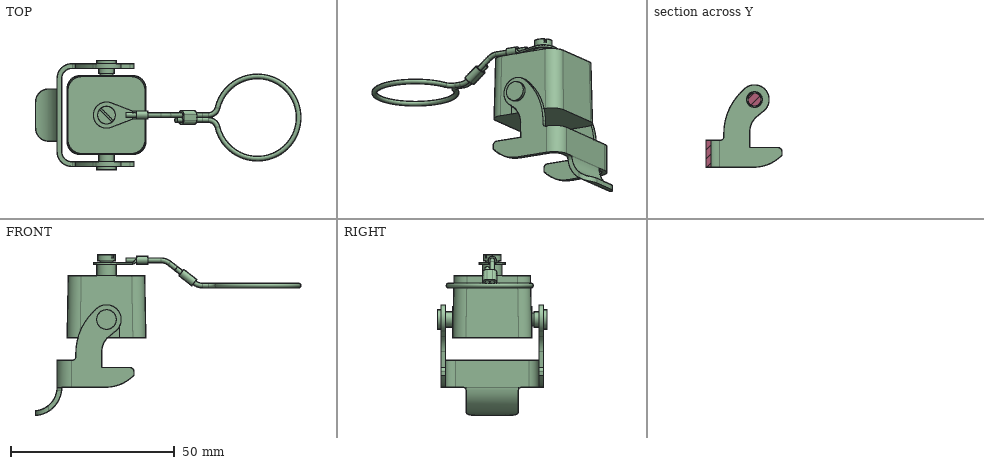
import cadquery as cq
import math


COVER_HEIGHT = 19.0
COVER_BASE_WIDTH = 24.1
COVER_TOP_WIDTH = 23.4
COVER_CORNER_RADIUS = 4.0
PAD_RADIUS = 4.0

PIVOT_Z = 5.6
PIN_DIAMETER = 4.8
PIN_NECK_DIAMETER = 4.1
PIN_NECK_LENGTH = 0.7
PIN_HEAD_DIAMETER = 6.0
PIN_SPAN = 33.4
PIN_HEAD_THICKNESS = 1.0

SHEET = 1.5
BAIL_HALF_WIDTH = PIN_SPAN / 2 - PIN_HEAD_THICKNESS
BAND_BACK_X = -15.1
BAND_BOTTOM_Z = -15.1
BAND_TOP_Z = -6.8
BAND_BEND_RADIUS = 4.5
BAND_BEND_X = BAND_BACK_X + BAND_BEND_RADIUS

ARM_EYE_RADIUS = 4.5
ARM_BACK_X = -9.4
ARM_BACK_RADIUS = 17.8
ARM_BACK_CENTER_Z = -4.8
ARM_ROOT_FILLET = 1.0
ARM_FRONT_X = -1.4
ARM_FRONT_RADIUS = 6.0
ARM_FRONT_CENTER_Z = -4.2
HOOK_TOP_Z = -9.0
HOOK_TIP_X = 8.4
HOOK_TIP_FILLET = 1.3
HOOK_TIP_LOW_Z = -11.4
HOOK_BELLY_X = -0.3

TAB_WIDTH = 16.0
TAB_BEND_RADIUS = 8.61
TAB_END_X = -21.65
TAB_CORNER_RADIUS = 4.0
TAB_ROOT_FILLET = 0.9

POST_DIAMETER = 6.0
POST_TOP_Z = 22.4
SCREW_NECK_DIAMETER = 4.1
SCREW_HEAD_DIAMETER = 5.4
SCREW_HEAD_BOTTOM_Z = 23.5
SCREW_TOP_Z = 25.4
SLOT_WIDTH = 0.6
SLOT_DEPTH = 1.1
SLOT_ANGLE = -45.0

EYELET_RADIUS = 4.0
EYELET_THICKNESS = 0.6
EYELET_TIP_X = 8.0
EYELET_TIP_WIDTH = 2.4

CORD_DIAMETER = 1.48
CORD_PITCH = 1.5
CORD_Z = 23.65
CORD_START_X = 5.9
CORD_BEND_START_X = 16.6
CORD_BEND_RADIUS = 4.2
CORD_SLOPE = math.radians(38.0)
CORD_DROP = 7.7
LOOP_NECK_X = 31.1
LOOP_RADIUS = 12.55
LOOP_END_X = 59.35
SLEEVE_DIAMETER = 2.5
SLEEVE_START_X = 9.2
SLEEVE_LENGTH = 3.4
FERRULE_LENGTH = 5.0
FERRULE_FLAT_WIDTH = 1.8
TAIL_LENGTH = 2.0


def polar(center, radius, angle):
    """Point at an angle on a circle in a plane."""
    return (center[0] + radius * math.cos(angle), center[1] + radius * math.sin(angle))


def tangent_angle(center_a, radius_a, center_b, radius_b, side):
    """Direction from both centres to their common tangent line; a negative radius makes it cross over."""
    dx = center_b[0] - center_a[0]
    dy = center_b[1] - center_a[1]
    spread = math.acos((radius_a - radius_b) / math.hypot(dx, dy))
    return math.atan2(dy, dx) + side * spread


def y_cylinder(diameter, y_start, y_end):
    """Cylinder on the pivot axis between two Y positions."""
    axis_plane = cq.Workplane("XZ", origin=(0, y_start, 0)).center(0, PIVOT_Z)
    return axis_plane.circle(diameter / 2).extrude(y_start - y_end)


def z_cylinder(diameter, z_start, z_end):
    """Cylinder on the screw axis between two heights."""
    return cq.Workplane("XY", origin=(0, 0, z_start)).circle(diameter / 2).extrude(z_end - z_start)


def make_cover():
    def rounded_square(width):
        return cq.Sketch().rect(width, width).vertices().fillet(COVER_CORNER_RADIUS)

    top = rounded_square(COVER_TOP_WIDTH).moved(cq.Location(cq.Vector(0, 0, COVER_HEIGHT)))
    body = cq.Workplane("XY").placeSketch(rounded_square(COVER_BASE_WIDTH), top).loft()
    pads = (
        cq.Workplane("XZ")
        .moveTo(-PAD_RADIUS, 0)
        .lineTo(PAD_RADIUS, 0)
        .lineTo(PAD_RADIUS, PIVOT_Z)
        .threePointArc((0, PIVOT_Z + PAD_RADIUS), (-PAD_RADIUS, PIVOT_Z))
        .close()
        .extrude(COVER_BASE_WIDTH / 2, both=True)
    )
    return body.union(pads)


def make_pins():
    wall_y = COVER_BASE_WIDTH / 2
    neck_end_y = wall_y + PIN_NECK_LENGTH
    core = y_cylinder(PIN_NECK_DIAMETER, 0, neck_end_y)
    plus_pin = y_cylinder(PIN_DIAMETER, neck_end_y, BAIL_HALF_WIDTH)
    minus_pin = y_cylinder(PIN_DIAMETER, -BAIL_HALF_WIDTH, 0)
    heads = y_cylinder(PIN_HEAD_DIAMETER, BAIL_HALF_WIDTH, PIN_SPAN / 2).union(
        y_cylinder(PIN_HEAD_DIAMETER, -PIN_SPAN / 2, -BAIL_HALF_WIDTH)
    )
    return core.union(plus_pin).union(minus_pin).union(heads)


def make_band():
    height = BAND_TOP_Z - BAND_BOTTOM_Z

    def rounded_channel(inset):
        back_x = BAND_BACK_X + inset
        half_width = BAIL_HALF_WIDTH - inset
        return (
            cq.Workplane("XY", origin=(0, 0, BAND_BOTTOM_Z))
            .moveTo((back_x + ARM_BACK_X) / 2, 0)
            .rect(ARM_BACK_X - back_x, 2 * half_width)
            .extrude(height)
            .edges("|Z and <X")
            .fillet(BAND_BEND_RADIUS - inset)
        )

    return rounded_channel(0).cut(rounded_channel(SHEET))


def make_arm(outer_y):
    """Hooked arm plate, from outer_y one sheet thickness toward +Y."""
    eye = (0, PIVOT_Z)
    back = (ARM_BACK_X + ARM_BACK_RADIUS, ARM_BACK_CENTER_Z)
    front = (ARM_FRONT_X + ARM_FRONT_RADIUS, ARM_FRONT_CENTER_Z)
    back_angle = tangent_angle(eye, ARM_EYE_RADIUS, back, ARM_BACK_RADIUS, -1) % math.tau
    front_angle = tangent_angle(eye, ARM_EYE_RADIUS, front, -ARM_FRONT_RADIUS, 1)
    front_end_angle = front_angle + math.pi

    belly_rise = HOOK_TIP_LOW_Z - BAND_BOTTOM_Z
    belly_run = HOOK_TIP_X - HOOK_BELLY_X
    belly_radius = (belly_run**2 + belly_rise**2) / (2 * belly_rise)
    belly = (HOOK_BELLY_X, BAND_BOTTOM_Z + belly_radius)
    belly_end_angle = math.atan2(HOOK_TIP_LOW_Z - belly[1], belly_run)

    fillet_center = (HOOK_TIP_X - HOOK_TIP_FILLET, HOOK_TOP_Z - HOOK_TIP_FILLET)
    root_center = (ARM_BACK_X - ARM_ROOT_FILLET, BAND_TOP_Z + ARM_ROOT_FILLET)

    return (
        cq.Workplane("XZ", origin=(0, outer_y, 0))
        .moveTo(BAND_BEND_X, BAND_BOTTOM_Z)
        .lineTo(HOOK_BELLY_X, BAND_BOTTOM_Z)
        .threePointArc(
            polar(belly, belly_radius, (belly_end_angle - math.pi / 2) / 2),
            (HOOK_TIP_X, HOOK_TIP_LOW_Z),
        )
        .lineTo(HOOK_TIP_X, fillet_center[1])
        .threePointArc(
            polar(fillet_center, HOOK_TIP_FILLET, math.pi / 4),
            (fillet_center[0], HOOK_TOP_Z),
        )
        .lineTo(ARM_FRONT_X, HOOK_TOP_Z)
        .lineTo(ARM_FRONT_X, ARM_FRONT_CENTER_Z)
        .threePointArc(
            polar(front, ARM_FRONT_RADIUS, (math.pi + front_end_angle) / 2),
            polar(front, ARM_FRONT_RADIUS, front_end_angle),
        )
        .lineTo(*polar(eye, ARM_EYE_RADIUS, front_angle))
        .threePointArc(
            polar(eye, ARM_EYE_RADIUS, (front_angle + back_angle) / 2),
            polar(eye, ARM_EYE_RADIUS, back_angle),
        )
        .lineTo(*polar(back, ARM_BACK_RADIUS, back_angle))
        .threePointArc(
            polar(back, ARM_BACK_RADIUS, (back_angle + math.pi) / 2),
            (ARM_BACK_X, ARM_BACK_CENTER_Z),
        )
        .lineTo(ARM_BACK_X, root_center[1])
        .threePointArc(
            polar(root_center, ARM_ROOT_FILLET, -math.pi / 4),
            (root_center[0], BAND_TOP_Z),
        )
        .lineTo(BAND_BEND_X, BAND_TOP_Z)
        .close()
        .extrude(-SHEET)
    )


def make_tab():
    front_x = BAND_BACK_X + SHEET
    inner_radius = TAB_BEND_RADIUS - SHEET
    bend = (front_x - TAB_BEND_RADIUS, BAND_BOTTOM_Z)
    end_run = TAB_END_X - bend[0]
    end_angle = -math.acos(end_run / TAB_BEND_RADIUS)
    inner_end_angle = -math.acos(end_run / inner_radius)
    tab = (
        cq.Workplane("XZ")
        .moveTo(front_x, BAND_BOTTOM_Z)
        .threePointArc(
            polar(bend, TAB_BEND_RADIUS, end_angle / 2),
            polar(bend, TAB_BEND_RADIUS, end_angle),
        )
        .lineTo(*polar(bend, inner_radius, inner_end_angle))
        .threePointArc(
            polar(bend, inner_radius, inner_end_angle / 2),
            (BAND_BACK_X, BAND_BOTTOM_Z),
        )
        .close()
        .extrude(TAB_WIDTH / 2, both=True)
        .edges("|Z and <X")
        .fillet(TAB_CORNER_RADIUS)
    )
    for side in (-1, 1):
        edge_y = side * TAB_WIDTH / 2
        outer_y = edge_y + side * TAB_ROOT_FILLET
        low_z = BAND_BOTTOM_Z - TAB_ROOT_FILLET
        gusset = (
            cq.Workplane("YZ", origin=(BAND_BACK_X, 0, 0))
            .moveTo(edge_y, BAND_BOTTOM_Z)
            .lineTo(outer_y, BAND_BOTTOM_Z)
            .threePointArc(
                polar((outer_y, low_z), TAB_ROOT_FILLET, math.pi / 2 + side * math.pi / 4),
                (edge_y, low_z),
            )
            .close()
            .extrude(SHEET)
        )
        tab = tab.union(gusset)
    return tab


def make_screw_post():
    post = z_cylinder(POST_DIAMETER, COVER_HEIGHT, POST_TOP_Z)
    neck = z_cylinder(SCREW_NECK_DIAMETER, POST_TOP_Z, SCREW_HEAD_BOTTOM_Z)
    head = z_cylinder(SCREW_HEAD_DIAMETER, SCREW_HEAD_BOTTOM_Z, SCREW_TOP_Z)
    slot = (
        cq.Workplane("XY", origin=(0, 0, SCREW_TOP_Z - SLOT_DEPTH))
        .rect(2 * SCREW_HEAD_DIAMETER, SLOT_WIDTH)
        .extrude(2 * SLOT_DEPTH)
        .rotate((0, 0, 0), (0, 0, 1), SLOT_ANGLE)
    )
    return post.union(neck).union(head.cut(slot))


def make_eyelet():
    half_tip = EYELET_TIP_WIDTH / 2
    tip_distance = math.hypot(EYELET_TIP_X, half_tip)
    tangent = math.atan2(half_tip, EYELET_TIP_X) + math.acos(EYELET_RADIUS / tip_distance)
    plate = (
        cq.Workplane("XY", origin=(0, 0, POST_TOP_Z))
        .moveTo(EYELET_TIP_X, -half_tip)
        .lineTo(EYELET_TIP_X, half_tip)
        .lineTo(*polar((0, 0), EYELET_RADIUS, tangent))
        .threePointArc((-EYELET_RADIUS, 0), polar((0, 0), EYELET_RADIUS, -tangent))
        .close()
        .extrude(EYELET_THICKNESS)
    )
    tongue = (
        cq.Workplane("XZ")
        .moveTo(EYELET_TIP_X, POST_TOP_Z)
        .lineTo(SLEEVE_START_X, CORD_Z - EYELET_THICKNESS)
        .lineTo(SLEEVE_START_X, CORD_Z + EYELET_THICKNESS)
        .lineTo(EYELET_TIP_X, POST_TOP_Z + EYELET_THICKNESS)
        .close()
        .extrude(half_tip, both=True)
    )
    return plate.union(tongue)


def slope_points():
    """XZ points of the sloping cord stretch: upper bend, straight slope and lower bend."""
    upper = (CORD_BEND_START_X, CORD_Z - CORD_BEND_RADIUS)
    upper_mid = polar(upper, CORD_BEND_RADIUS, (math.pi - CORD_SLOPE) / 2)
    slope_top = polar(upper, CORD_BEND_RADIUS, math.pi / 2 - CORD_SLOPE)
    bend_drop = CORD_BEND_RADIUS * (1 - math.cos(CORD_SLOPE))
    slope_run = (CORD_DROP - 2 * bend_drop) / math.tan(CORD_SLOPE)
    slope_bottom = (slope_top[0] + slope_run, CORD_Z - CORD_DROP + bend_drop)
    lower = (
        slope_bottom[0] + CORD_BEND_RADIUS * math.sin(CORD_SLOPE),
        CORD_Z - CORD_DROP + CORD_BEND_RADIUS,
    )
    lower_mid = polar(lower, CORD_BEND_RADIUS, -(math.pi + CORD_SLOPE) / 2)
    lower_end = (lower[0], CORD_Z - CORD_DROP)
    return upper_mid, slope_top, slope_bottom, lower_mid, lower_end


def make_cord():
    upper_mid, slope_top, slope_bottom, lower_mid, lower_end = slope_points()
    loop_z = CORD_Z - CORD_DROP
    loop = (LOOP_END_X - CORD_DIAMETER / 2 - LOOP_RADIUS, -CORD_PITCH / 2)

    neck_run = loop[0] - LOOP_NECK_X
    half_pitch = CORD_PITCH / 2
    neck_radius = (neck_run**2 + half_pitch**2 - LOOP_RADIUS**2) / (2 * (LOOP_RADIUS - half_pitch))
    neck = (LOOP_NECK_X, neck_radius)
    neck_angle = math.atan2(loop[1] - neck[1], neck_run)
    neck_mid = polar(neck, neck_radius, (neck_angle - math.pi / 2) / 2)
    neck_end = polar(neck, neck_radius, neck_angle)

    tail_distance = FERRULE_LENGTH + TAIL_LENGTH
    tail_end = polar(slope_bottom, tail_distance, math.pi - CORD_SLOPE)

    def upper_strand(point):
        return cq.Vector(point[0], 0, point[1])

    def lower_strand(point):
        return cq.Vector(point[0], -CORD_PITCH, point[1])

    def loop_point(point):
        return cq.Vector(point[0], point[1], loop_z)

    def mirrored(point):
        return cq.Vector(point[0], 2 * loop[1] - point[1], loop_z)

    neck_start = (LOOP_NECK_X, loop_z)
    cord_start = upper_strand((CORD_START_X, CORD_Z))
    bend_start = upper_strand((CORD_BEND_START_X, CORD_Z))
    loop_far = loop_point((loop[0] + LOOP_RADIUS, loop[1]))
    line = cq.Edge.makeLine
    arc = cq.Edge.makeThreePointArc
    path = cq.Wire.assembleEdges(
        [
            line(cord_start, bend_start),
            arc(bend_start, upper_strand(upper_mid), upper_strand(slope_top)),
            line(upper_strand(slope_top), upper_strand(slope_bottom)),
            arc(upper_strand(slope_bottom), upper_strand(lower_mid), upper_strand(lower_end)),
            line(upper_strand(lower_end), upper_strand(neck_start)),
            arc(upper_strand(neck_start), loop_point(neck_mid), loop_point(neck_end)),
            arc(loop_point(neck_end), loop_far, mirrored(neck_end)),
            arc(mirrored(neck_end), mirrored(neck_mid), lower_strand(neck_start)),
            line(lower_strand(neck_start), lower_strand(lower_end)),
            arc(lower_strand(lower_end), lower_strand(lower_mid), lower_strand(slope_bottom)),
            line(lower_strand(slope_bottom), lower_strand(tail_end)),
        ]
    )
    section = cq.Workplane("YZ", origin=cord_start.toTuple()).circle(CORD_DIAMETER / 2)
    return section.sweep(cq.Workplane(path))


def make_sleeve():
    sleeve_plane = cq.Workplane("YZ", origin=(SLEEVE_START_X, 0, CORD_Z))
    return sleeve_plane.circle(SLEEVE_DIAMETER / 2).extrude(SLEEVE_LENGTH)


def make_ferrule():
    slope_bottom = slope_points()[2]
    slope_plane = cq.Plane(
        origin=(slope_bottom[0], -CORD_PITCH / 2, slope_bottom[1]),
        xDir=(0, 1, 0),
        normal=(-math.cos(CORD_SLOPE), 0, math.sin(CORD_SLOPE)),
    )
    width = FERRULE_FLAT_WIDTH + SLEEVE_DIAMETER
    return cq.Workplane(slope_plane).slot2D(width, SLEEVE_DIAMETER).extrude(FERRULE_LENGTH)


features = [
    make_pins(),
    make_band(),
    make_arm(-BAIL_HALF_WIDTH),
    make_arm(BAIL_HALF_WIDTH - SHEET),
    make_tab(),
    make_screw_post(),
    make_eyelet(),
    make_sleeve(),
    make_cord(),
    make_ferrule(),
]

result = make_cover()
for feature in features:
    result = result.union(feature)